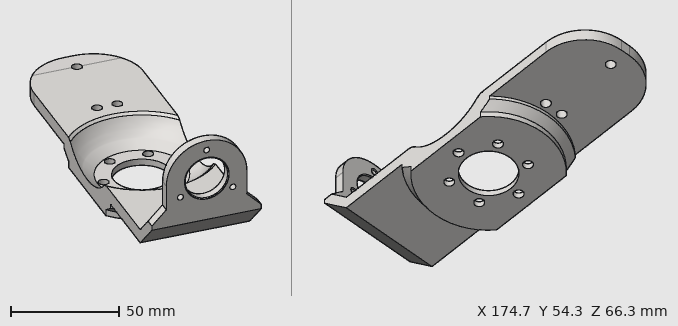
import cadquery as cq
import math


plate_width = 54.3
half_width = plate_width / 2
left_end = -92.4
end_flat = 4.8
end_radius = (plate_width - end_flat) / 2
plate_bottom = 9.3
plate_thickness = 6.7
plate_top = plate_bottom + plate_thickness
top_rise = 0.45
slope_start_inset = 10.0
slope_start = left_end + slope_start_inset

bend_x = 67.1
tab_thickness = 4.9
collar_height = 0.3
total_length = 174.67
total_height = 66.33
tab_outer = left_end + total_length - collar_height
tab_inner = tab_outer - tab_thickness
bend_top = plate_top + top_rise
tab_foot = bend_top + (tab_inner - bend_x)
outer_bend_end = plate_bottom + (tab_outer - bend_x)
tab_radius = 20.0
tab_center_z = total_height - tab_radius
shoulder_z = tab_foot + (half_width - tab_radius)

tab_bore = 21.0
collar_diameter = 22.0
bore_mouth = 21.8
bore_mouth_depth = 0.6
tab_screw_circle = 15.0
tab_screw_hole = 2.9
tab_screw_mouth = 3.8
tab_screw_mouth_depth = 0.5
tab_screw_count = 3

boss_foot_radius = 35.95
boss_foot_top = 3.2
boss_rim_radius = 40.2
boss_rim_bottom = 7.35

bowl_floor_radius = 22.1
bowl_floor = 3.4
bowl_wall_mid_radius = 30.2
bowl_wall_mid_z = 9.3
bowl_wall_top_radius = 34.5
bowl_wall_top_z = 15.0
bowl_rim_radius = 36.4
bowl_bore = 28.0
floor_hole = 5.0
floor_hole_circle = 19.0
floor_hole_count = 6

plate_hole = 5.0
pair_x = -44.0
pair_spacing = 10.0


def bent_strip():
    """Flat plate, 45 degree bend and upright tab as one full-width strip."""
    side = [
        (left_end, plate_bottom),
        (bend_x, plate_bottom),
        (tab_outer, outer_bend_end),
        (tab_outer, total_height),
        (tab_inner, total_height),
        (tab_inner, tab_foot),
        (bend_x, bend_top),
        (slope_start, plate_top),
        (left_end, plate_top),
    ]
    strip = cq.Workplane("XZ").polyline(side).close().extrude(half_width, both=True)
    return strip.edges("|Z and <X").fillet(end_radius)


def tab_outline():
    """Block that carries the tab's front shape; everything below its foot is kept full width."""
    return (
        cq.Workplane("YZ", origin=(left_end, 0, 0))
        .moveTo(-half_width, 0)
        .lineTo(half_width, 0)
        .lineTo(half_width, tab_foot)
        .lineTo(tab_radius, shoulder_z)
        .lineTo(tab_radius, tab_center_z)
        .threePointArc((0, total_height), (-tab_radius, tab_center_z))
        .lineTo(-tab_radius, shoulder_z)
        .lineTo(-half_width, tab_foot)
        .close()
        .extrude(total_length)
    )


def boss():
    """Stepped round boss, cut off flush with the plate's long sides."""
    profile = [
        (0, 0),
        (boss_foot_radius, 0),
        (boss_foot_radius, boss_foot_top),
        (boss_rim_radius, boss_rim_bottom),
        (boss_rim_radius, plate_bottom),
        (0, plate_bottom),
    ]
    turned = cq.Workplane("XZ").polyline(profile).close().revolve(360, (0, 0, 0), (0, 1, 0))
    band = cq.Workplane("XY").box(total_length, plate_width, total_height)
    return turned.intersect(band)


def bowl():
    """Bowl-shaped cut with a flat floor, curved wall and flared rim."""
    return (
        cq.Workplane("XZ")
        .moveTo(0, bowl_floor)
        .lineTo(bowl_floor_radius, bowl_floor)
        .threePointArc((bowl_wall_mid_radius, bowl_wall_mid_z), (bowl_wall_top_radius, bowl_wall_top_z))
        .lineTo(bowl_rim_radius, bend_top)
        .lineTo(0, bend_top)
        .close()
        .revolve(360, (0, 0, 0), (0, 1, 0))
    )


def vertical_holes():
    """Bowl bore, its ring of holes and the small holes in the plate."""
    bore = cq.Workplane("XY").circle(bowl_bore / 2).extrude(total_height)
    ring = (
        cq.Workplane("XY")
        .polarArray(floor_hole_circle, 90, 360, floor_hole_count)
        .circle(floor_hole / 2)
        .extrude(total_height)
    )
    places = [
        (slope_start, 0),
        (pair_x, pair_spacing / 2),
        (pair_x, -pair_spacing / 2),
    ]
    small = cq.Workplane("XY").pushPoints(places).circle(plate_hole / 2).extrude(total_height)
    return bore.union(ring).union(small)


def tab_rod(diameter, start_x, length, y=0, z=0):
    """Cylinder along X, placed relative to the centre of the tab's arc."""
    plane = cq.Workplane("YZ", origin=(start_x, y, tab_center_z + z))
    return plane.circle(diameter / 2).extrude(length)


def tab_cone(mouth_diameter, hole_diameter, mouth_x, depth, y=0, z=0):
    """Tapered mouth that narrows from mouth_x; a negative depth narrows toward -X."""
    return (
        cq.Workplane("YZ", origin=(mouth_x, y, tab_center_z + z))
        .circle(mouth_diameter / 2)
        .workplane(offset=depth)
        .circle(hole_diameter / 2)
        .loft(ruled=True)
    )


def drill_tab(body):
    """Add the collar on the outer face, then bore and drill the tab with tapered mouths."""
    depth = tab_thickness + collar_height
    body = body.union(tab_rod(collar_diameter, tab_inner, depth))
    body = body.cut(tab_rod(tab_bore, tab_inner, depth))
    body = body.cut(tab_cone(bore_mouth, tab_bore, tab_inner, bore_mouth_depth))
    body = body.cut(tab_cone(bore_mouth, tab_bore, tab_inner + depth, -bore_mouth_depth))
    for index in range(tab_screw_count):
        angle = math.radians(90 + index * 360 / tab_screw_count)
        y = tab_screw_circle * math.cos(angle)
        z = tab_screw_circle * math.sin(angle)
        body = body.cut(tab_rod(tab_screw_hole, tab_inner, depth, y, z))
        body = body.cut(tab_cone(tab_screw_mouth, tab_screw_hole, tab_inner, tab_screw_mouth_depth, y, z))
    return body


body = bent_strip().intersect(tab_outline())
body = body.union(boss()).cut(bowl()).cut(vertical_holes())
result = drill_tab(body)